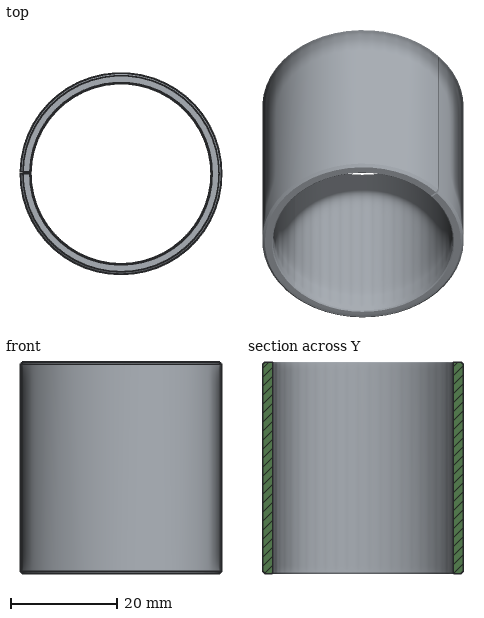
import cadquery as cq
import math

outer_diameter = 38.0
inner_diameter = 34.0
length = 40.0

outer_chamfer = 0.5
inner_chamfer = 0.2

split_angle = math.radians(1.0)

outer_radius = outer_diameter / 2
inner_radius = inner_diameter / 2
half_length = length / 2


def make_sleeve():
    """Revolve the chamfered wall section about Z."""
    outer_face_radius = outer_radius - outer_chamfer
    inner_face_radius = inner_radius + inner_chamfer
    outer_edge_z = half_length - outer_chamfer
    inner_edge_z = half_length - inner_chamfer
    return (
        cq.Workplane("XZ")
        .moveTo(inner_radius, -inner_edge_z)
        .lineTo(inner_face_radius, -half_length)
        .lineTo(outer_face_radius, -half_length)
        .lineTo(outer_radius, -outer_edge_z)
        .lineTo(outer_radius, outer_edge_z)
        .lineTo(outer_face_radius, half_length)
        .lineTo(inner_face_radius, half_length)
        .lineTo(inner_radius, inner_edge_z)
        .close()
        .revolve(360, (0, 0, 0), (0, 1, 0))
    )


def make_split():
    """Radial wedge that opens the -X wall over the full length, from Y = 0 toward +Y."""
    reach = outer_diameter
    return (
        cq.Workplane("XY")
        .lineTo(-reach, 0)
        .lineTo(-reach * math.cos(split_angle), reach * math.sin(split_angle))
        .close()
        .extrude(half_length, both=True)
    )


result = make_sleeve().cut(make_split())